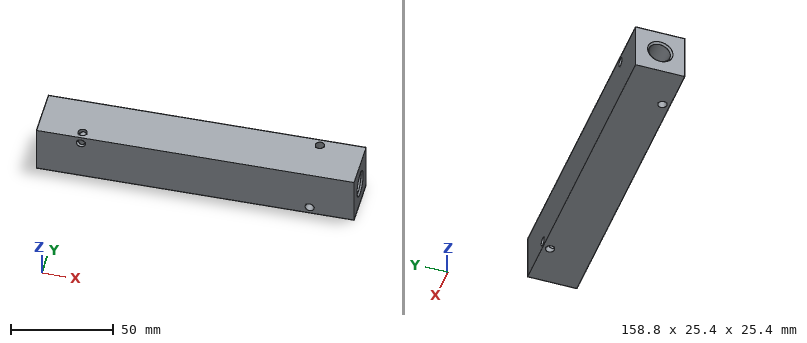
import cadquery as cq

length = 158.8
side = 25.4

bore_diameter = 11.1
mouth_diameter = 13.0
mouth_chamfer = (mouth_diameter - bore_diameter) / 2

cross_diameter = 4.5
cross_spacing = 114.3
cross_edge_distance = 3.8
half_spacing = cross_spacing / 2
cross_offset = side / 2 - cross_edge_distance


def drill_cross_holes(body, plane, centres):
    """Drill plain holes right through the bar, normal to the given plane."""
    drills = (
        cq.Workplane(plane)
        .pushPoints(centres)
        .circle(cross_diameter / 2)
        .extrude(side, both=True)
    )
    return body.cut(drills)


bar = cq.Workplane("XY").box(length, side, side)
bar = bar.faces("<X").workplane(centerOption="CenterOfBoundBox").hole(bore_diameter)
bar = bar.faces("<X or >X").edges("%CIRCLE").chamfer(mouth_chamfer)

bar = drill_cross_holes(
    bar, "XZ", [(-half_spacing, cross_offset), (half_spacing, -cross_offset)]
)
bar = drill_cross_holes(
    bar, "XY", [(-half_spacing, -cross_offset), (half_spacing, cross_offset)]
)

result = bar